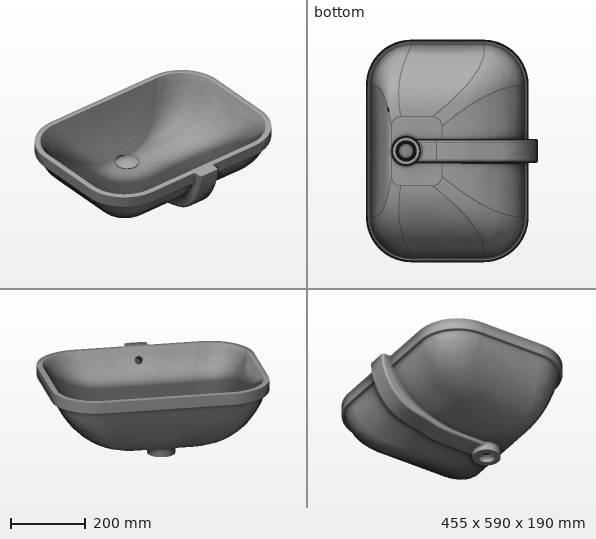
import cadquery as cq
import math


rim_front = -105.0
rim_length = 430.0
rim_width = 590.0
rim_height = 33.0
rim_corner = 120.0
rim_edge_fillet = 3.0
rim_wall = 15.0
rim_back = rim_front + rim_length

shell_inset = 9.6
shell_bottom = -165.0
shell_floor_front = -40.0
shell_floor_back = 95.0
shell_floor_half_width = 92.0
shell_floor_corner = 25.0
shell_front_taper = 32.0
shell_side_lean = 20.8
shell_back_lean = 10.0
shell_fullness = 1.0
shell_corner_fade = 2.4

floor_height = -151.0
floor_half_width = 25.0
floor_corner = 4.0
cavity_front_taper = 38.0
cavity_side_lean = 30.0
cavity_back_lean = 28.0
cavity_fullness = 0.75
cavity_corner_fade = 1.15

section_count = 8

outlet_diameter = 75.0
outlet_bottom = -190.0
underside_blend = 3.0

duct_width = 60.0
duct_projection = 25.0
duct_bottom = -176.5
duct_edge_fillet = 6.0
duct_back = rim_back + duct_projection
duct_curve = [(345.6, -41.0), (320.0, -97.0), (269.5, -142.5), (193.0, -164.0)]
duct_straight_depth = 12.0
duct_foot = 80.0
duct_root_fillet = 3.0
duct_outlet_fillet = 6.0

overflow_diameter = 20.0
overflow_mouth_diameter = 26.0
overflow_x = 294.0
overflow_z = -32.0
overflow_tilt = 27.0
overflow_chamfer = (overflow_mouth_diameter - overflow_diameter) / 2
overflow_depth = 35.0
overflow_clearance = 10.0

flange_diameter = 66.0
flange_thickness = 4.0
flange_recess = 1.0
seat_clearance = 5.0
tail_diameter = 52.0
tail_bore = 44.0

plug_diameter = 60.0
plug_edge_height = 3.0
plug_dome_height = 4.0
plug_stem_diameter = 42.0
plug_stem_length = 15.0

margin = 1.0

flange_bottom = floor_height - flange_recess - flange_thickness
flange_top = flange_bottom + flange_thickness


def box_selector(low, high):
    """Picks edges that lie wholly inside a box."""
    return cq.selectors.BoxSelector(low, high, boundingbox=True)


def blend(start, end, amount):
    """Value part of the way from start to end."""
    return start + (end - start) * amount


def section_wire(front, back, half_width, corner, height):
    """Closed rounded rectangle at a given height, symmetric about Y = 0."""
    bulge = corner * (1 - math.sqrt(0.5))
    outline = (
        cq.Workplane("XY", origin=(0, 0, height))
        .moveTo(front + corner, -half_width)
        .lineTo(back - corner, -half_width)
        .threePointArc((back - bulge, -half_width + bulge), (back, -half_width + corner))
        .lineTo(back, half_width - corner)
        .threePointArc((back - bulge, half_width - bulge), (back - corner, half_width))
        .lineTo(front + corner, half_width)
        .threePointArc((front + bulge, half_width - bulge), (front, half_width - corner))
        .lineTo(front, -half_width + corner)
        .threePointArc((front + bulge, -half_width + bulge), (front + corner, -half_width))
        .close()
    )
    return outline.val()


def arc_spread(depth, lean):
    """Width left at a depth from 0 to 1 along an arc that leans at its top and ends level.

    It falls from 1 to 0. `lean` is the angle from vertical at the top, in degrees.
    """
    start = math.sin(math.radians(lean))
    rise = blend(start, 1.0, depth)
    return math.sqrt(max(1 - rise**2, 0.0) / (1 - start**2))


def bowl(top, bottom, front_taper, side_lean, back_lean, fullness, corner_fade):
    """Loft from a top section to a bottom section.

    Sections are (front, back, half width, corner radius, height). The back and the sides
    follow leaning arcs, and a lower `fullness` exponent fills them out towards the floor.
    The front slopes in by `front_taper` and then rounds into the floor.
    """
    top_front, top_back, top_half_width, top_corner, top_height = top
    front, back, half_width, corner, height = bottom
    wires = []
    for index in range(section_count):
        depth = math.sin(math.pi / 2 * index / (section_count - 1))
        side_spread = arc_spread(depth, side_lean) ** fullness
        back_spread = arc_spread(depth, back_lean) ** fullness
        front_round = (front - top_front - front_taper) * (1 - arc_spread(depth, 0))
        wires.append(
            section_wire(
                top_front + front_taper * depth + front_round,
                blend(back, top_back, back_spread),
                blend(half_width, top_half_width, side_spread),
                blend(corner, top_corner, side_spread**corner_fade),
                blend(top_height, height, depth),
            )
        )
    return cq.Workplane(cq.Solid.makeLoft(wires))


def make_rim():
    """Rounded rectangular band with a rounded lower edge."""
    outline = section_wire(rim_front, rim_back, rim_width / 2, rim_corner, -rim_height)
    rim = cq.Workplane(cq.Solid.extrudeLinear(outline, [], cq.Vector(0, 0, rim_height)))
    return rim.faces("<Z").edges().fillet(rim_edge_fillet)


def make_shell():
    """Outer bowl under the rim."""
    top = (
        rim_front + shell_inset,
        rim_back - shell_inset,
        rim_width / 2 - shell_inset,
        rim_corner - shell_inset,
        -rim_height,
    )
    bottom = (
        shell_floor_front,
        shell_floor_back,
        shell_floor_half_width,
        shell_floor_corner,
        shell_bottom,
    )
    return bowl(
        top,
        bottom,
        shell_front_taper,
        shell_side_lean,
        shell_back_lean,
        shell_fullness,
        shell_corner_fade,
    )


def make_cavity():
    """Inner bowl, closing on a small floor hidden by the drain fitting."""
    top = (
        rim_front + rim_wall,
        rim_back - rim_wall,
        rim_width / 2 - rim_wall,
        rim_corner - rim_wall,
        0.0,
    )
    bottom = (
        -floor_half_width,
        floor_half_width,
        floor_half_width,
        floor_corner,
        floor_height,
    )
    return bowl(
        top,
        bottom,
        cavity_front_taper,
        cavity_side_lean,
        cavity_back_lean,
        cavity_fullness,
        cavity_corner_fade,
    )


def make_duct():
    """Swept-down back channel, from the rim to the drain outlet."""
    duct = (
        cq.Workplane("XZ", origin=(0, duct_width / 2, 0))
        .moveTo(0, 0)
        .lineTo(duct_back, 0)
        .lineTo(duct_back, -duct_straight_depth)
        .spline(
            duct_curve + [(duct_foot, duct_bottom)],
            tangents=[(0, -1), (-1, 0)],
            includeCurrent=True,
        )
        .lineTo(0, duct_bottom)
        .close()
        .extrude(duct_width)
    )
    outer_edges = box_selector(
        (margin, -duct_width, outlet_bottom),
        (duct_back + margin, duct_width, -margin),
    )
    return duct.faces("<Y or >Y").edges(outer_edges).fillet(duct_edge_fillet)


def make_outlet():
    return (
        cq.Workplane("XY", origin=(0, 0, outlet_bottom))
        .circle(outlet_diameter / 2)
        .extrude(floor_height - outlet_bottom)
    )


def make_overflow_hole():
    """Blind hole with a chamfered mouth, square to the back wall of the cavity."""
    mouth_radius = overflow_mouth_diameter / 2
    hole_radius = overflow_diameter / 2
    return (
        cq.Workplane("XZ")
        .moveTo(-overflow_clearance, 0)
        .lineTo(-overflow_clearance, mouth_radius)
        .lineTo(0, mouth_radius)
        .lineTo(overflow_chamfer, hole_radius)
        .lineTo(overflow_depth, hole_radius)
        .lineTo(overflow_depth, 0)
        .close()
        .revolve(360, (0, 0, 0), (1, 0, 0))
        .rotate((0, 0, 0), (0, 1, 0), overflow_tilt)
        .translate((overflow_x, 0, overflow_z))
    )


def cylinder(diameter, bottom, top):
    return cq.Workplane("XY", origin=(0, 0, bottom)).circle(diameter / 2).extrude(top - bottom)


def make_fitting():
    """Flanged sleeve that lines the drain outlet."""
    flange = cylinder(flange_diameter, flange_bottom, flange_top)
    tail = cylinder(tail_diameter, outlet_bottom, flange_bottom)
    return flange.union(tail).cut(cylinder(tail_bore, outlet_bottom, flange_top))


def make_plug():
    """Domed plug that rests on the flange, with its stem in the sleeve."""
    radius = plug_diameter / 2
    edge_top = flange_top + plug_edge_height
    dome_top = edge_top + plug_dome_height
    dome_radius = (radius**2 + plug_dome_height**2) / (2 * plug_dome_height)
    dome_drop = dome_radius - math.sqrt(dome_radius**2 - (radius / 2) ** 2)
    return (
        cq.Workplane("XZ")
        .moveTo(0, flange_top - plug_stem_length)
        .lineTo(plug_stem_diameter / 2, flange_top - plug_stem_length)
        .lineTo(plug_stem_diameter / 2, flange_top)
        .lineTo(radius, flange_top)
        .lineTo(radius, edge_top)
        .threePointArc((radius / 2, dome_top - dome_drop), (0, dome_top))
        .close()
        .revolve(360, (0, 0, 0), (0, 1, 0))
    )


def make_basin():
    half_duct = duct_width / 2 + margin
    half_outlet = outlet_diameter / 2 + margin
    duct_roots = box_selector(
        (rim_back - 2 * shell_inset, -half_duct, -rim_height - margin),
        (rim_back + margin, half_duct, margin),
    )
    outlet_collar = box_selector(
        (-half_outlet, -half_outlet, shell_bottom - margin),
        (half_outlet, half_outlet, shell_bottom + margin),
    )
    duct_outlet_joint = box_selector(
        (0, -half_duct, duct_bottom - margin),
        (half_outlet, half_duct, shell_bottom - margin),
    )
    basin = make_rim().union(make_shell()).union(make_duct())
    basin = basin.edges(duct_roots).edges("<Y or >Y").fillet(duct_root_fillet)
    basin = basin.union(make_outlet())
    basin = basin.edges(duct_outlet_joint).fillet(duct_outlet_fillet)
    basin = basin.edges(outlet_collar).fillet(underside_blend)
    basin = basin.cut(make_cavity()).cut(make_overflow_hole())
    flange_seat = cylinder(flange_diameter, flange_bottom, floor_height + seat_clearance)
    tail_hole = cylinder(tail_diameter, outlet_bottom, flange_bottom)
    return basin.cut(flange_seat).cut(tail_hole)


basin = make_basin()
fitting = make_fitting()
plug = make_plug()
result = cq.Compound.makeCompound([*basin.solids().vals(), *fitting.solids().vals(), *plug.vals()])